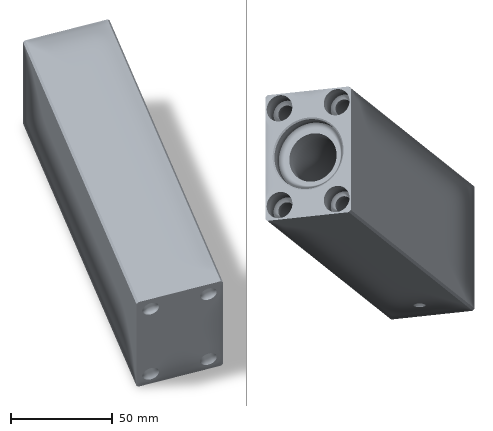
import cadquery as cq

length = 178.0
width = 45.0
height = 65.0
edge_chamfer = 1.0

bore_diameter = 25.0
bore_depth = 160.2
recess_diameter = 36.0
recess_depth = 7.0
recess_chamfer = 0.7

screw_spacing_y = 30.0
screw_spacing_z = 50.0
screw_diameter = 8.5
counterbore_diameter = 13.5
counterbore_depth = 10.0

port_diameter = 6.0
port_overlap = 1.6

mouth_x = -length / 2
bore_end_x = mouth_x + bore_depth


def make_block():
    block = cq.Workplane("XY").box(length, width, height)
    return block.edges("|X").chamfer(edge_chamfer)


def mouth_plane():
    """Workplane on the -X face whose normal points into the block."""
    return cq.Workplane("YZ", origin=(mouth_x, 0, 0))


def make_bore():
    bore = mouth_plane().circle(bore_diameter / 2).extrude(bore_depth)
    recess = mouth_plane().circle(recess_diameter / 2).extrude(recess_depth)
    bevel = (
        mouth_plane()
        .circle(recess_diameter / 2 + recess_chamfer)
        .workplane(offset=recess_chamfer)
        .circle(recess_diameter / 2)
        .loft()
    )
    return bore.union(recess).union(bevel)


def make_screw_holes():
    centres = mouth_plane().rarray(screw_spacing_y, screw_spacing_z, 2, 2)
    counterbores = centres.circle(counterbore_diameter / 2).extrude(counterbore_depth)
    shanks = centres.circle(screw_diameter / 2).extrude(length)
    return shanks.union(counterbores)


def make_port():
    bottom = cq.Workplane("XY", origin=(bore_end_x, 0, -height / 2))
    port_depth = (height - bore_diameter) / 2 + port_overlap
    return bottom.circle(port_diameter / 2).extrude(port_depth)


result = make_block().cut(make_bore()).cut(make_screw_holes()).cut(make_port())